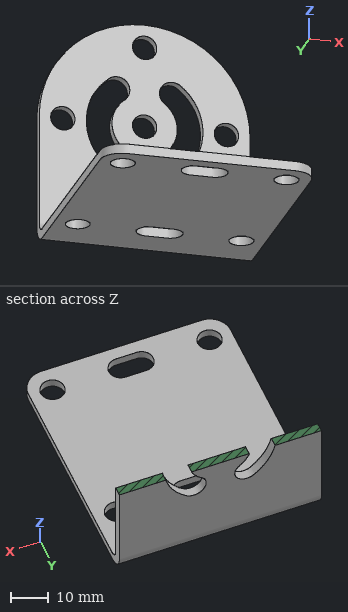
import cadquery as cq
import math


width = 58.0
depth = 69.5
height = 65.0
thickness = 2.7
bend_inner_radius = 2.7
bend_outer_radius = bend_inner_radius + thickness
base_corner_radius = 6.0

hole_diameter = 6.6
hole_spacing = 45.0

top_radius = width / 2
pivot_height = height - top_radius
arc_slot_radius = 12.5
arc_slot_width = 7.0
arc_slot_half_angle = 52.5

front_row_margin = 7.0
front_row_y = -depth + front_row_margin
rear_row_y = front_row_y + hole_spacing
base_slot_length = 12.6


def bent_sheet():
    """L-shaped sheet with a rounded bend, extruded across the width."""
    outer_bend_mid = bend_outer_radius * (1 - math.sqrt(0.5))
    inner_bend_mid = bend_outer_radius - bend_inner_radius * math.sqrt(0.5)
    return (
        cq.Workplane("YZ", origin=(-width / 2, 0, 0))
        .moveTo(0, height)
        .lineTo(0, bend_outer_radius)
        .threePointArc((-outer_bend_mid, outer_bend_mid), (-bend_outer_radius, 0))
        .lineTo(-depth, 0)
        .lineTo(-depth, thickness)
        .lineTo(-bend_outer_radius, thickness)
        .threePointArc((-inner_bend_mid, inner_bend_mid), (-thickness, bend_outer_radius))
        .lineTo(-thickness, height)
        .close()
        .extrude(width)
    )


def upright_outline():
    """Block as deep as the bracket, with the upright plate's round-topped outline."""
    half_width = width / 2
    return (
        cq.Workplane("XZ")
        .moveTo(-half_width, 0)
        .lineTo(half_width, 0)
        .lineTo(half_width, pivot_height)
        .threePointArc((0, height), (-half_width, pivot_height))
        .close()
        .extrude(depth)
    )


def upright_plane():
    """Sketch plane on the upright's outer face, centred on the pivot hole."""
    return cq.Workplane("XZ", origin=(0, 0, pivot_height))


def upright_holes():
    """Pivot hole with one hole on each side and one above it."""
    centres = [(0, 0), (-hole_spacing / 2, 0), (hole_spacing / 2, 0), (0, hole_spacing / 2)]
    return upright_plane().pushPoints(centres).circle(hole_diameter / 2).extrude(thickness)


def arc_slot(side):
    """Round-ended slot curved about the pivot; side is -1 for left, 1 for right."""
    end_radius = arc_slot_width / 2
    inner_radius = arc_slot_radius - end_radius
    outer_radius = arc_slot_radius + end_radius
    half_angle = math.radians(arc_slot_half_angle)

    def polar(radius, angle):
        return (side * radius * math.cos(angle), radius * math.sin(angle))

    def end_tip(end):
        """Farthest point of the round end; end is -1 for lower, 1 for upper."""
        x, z = polar(arc_slot_radius, end * half_angle)
        x -= side * end_radius * math.sin(half_angle)
        z += end * end_radius * math.cos(half_angle)
        return (x, z)

    return (
        upright_plane()
        .moveTo(*polar(outer_radius, -half_angle))
        .threePointArc(polar(outer_radius, 0), polar(outer_radius, half_angle))
        .threePointArc(end_tip(1), polar(inner_radius, half_angle))
        .threePointArc(polar(inner_radius, 0), polar(inner_radius, -half_angle))
        .threePointArc(end_tip(-1), polar(outer_radius, -half_angle))
        .close()
        .extrude(thickness)
    )


def base_row(row_y):
    """One row of base cut-outs: a central slot between two round holes."""
    plane = cq.Workplane("XY", origin=(0, row_y, 0))
    hole_centres = [(-hole_spacing / 2, 0), (hole_spacing / 2, 0)]
    holes = plane.pushPoints(hole_centres).circle(hole_diameter / 2).extrude(thickness)
    slot = plane.slot2D(base_slot_length, hole_diameter).extrude(thickness)
    return holes.union(slot)


def make_bracket():
    """Complete bracket as one solid."""
    body = bent_sheet().intersect(upright_outline())
    body = body.edges("|Z and <Y").fillet(base_corner_radius)
    body = body.cut(upright_holes())
    for side in (-1, 1):
        body = body.cut(arc_slot(side))
    for row_y in (front_row_y, rear_row_y):
        body = body.cut(base_row(row_y))
    return body


bracket = make_bracket()

result = cq.Compound.makeCompound([bracket.val()])